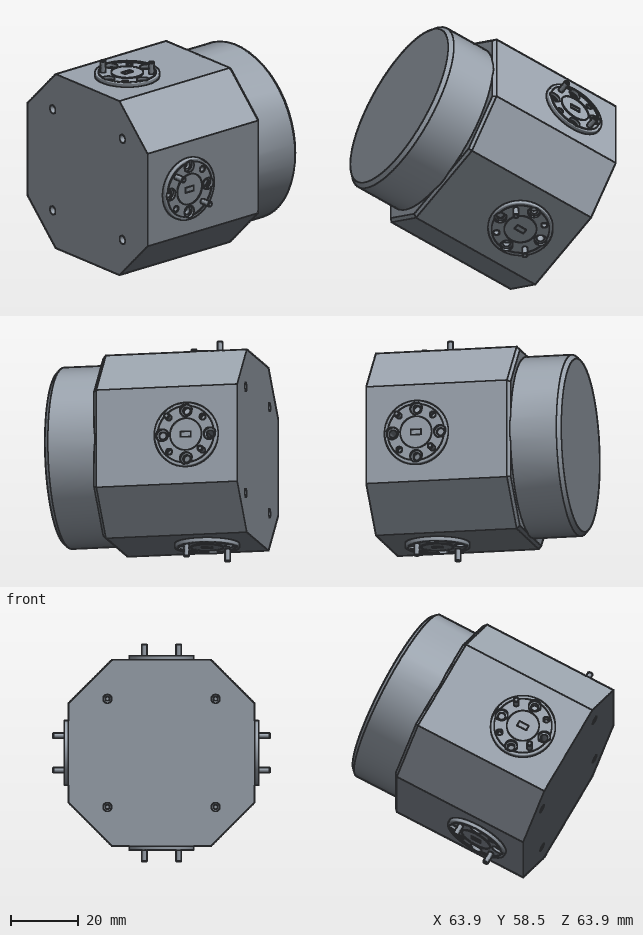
import cadquery as cq
import math

span = 63.9
length = 58.45
port_to_front = 15.25

housing_width = 54.8
housing_length = 43.4
corner_cut = 12.85
rear_chamfer = 0.9

drum_radius = 26.75
drum_chamfer = 1.2
drum_front_y = -6.15

mount_offset = 15.9
mount_diameter = 2.55
mount_depth = 5.1
mount_tip_diameter = 1.3

flange_diameter = 19.1
flange_height = 1.2
flange_edge = 0.3
rim_inner_diameter = 17.0
boss_diameter = 9.5
ring_recess = 0.25
guide_width = 1.6
guide_length = 3.1
guide_depth = 0.2
hole_circle_radius = 7.15
screw_diameter = 2.25
screw_head_diameter = 3.65
screw_head_depth = 1.3
screw_hole_depth = 9.6
dowel_hole_diameter = 1.65
dowel_hole_chamfer = 0.1
dowel_hole_depth = 9.6
pin_diameter = 1.6
pin_chamfer = 0.2

quarter_turns = (0, 90, 180, 270)
pin_angles = (45, 225)
dowel_hole_angles = (135, 315)

front_y = -port_to_front
rear_y = front_y + length
housing_top = housing_width / 2
flange_top = housing_top + flange_height
ring_top = flange_top - ring_recess


def cylinder_z(diameter, bottom, top, x=0, y=0):
    """Cylinder along Z between two heights."""
    return cq.Workplane("XY", origin=(x, y, bottom)).circle(diameter / 2).extrude(top - bottom)


def polar(angle):
    """Place on the hole circle at an angle in degrees from +X."""
    turn = math.radians(angle)
    return hole_circle_radius * math.cos(turn), hole_circle_radius * math.sin(turn)


def make_housing():
    """Octagonal block with a chamfered rear edge."""
    block = cq.Workplane("XZ", origin=(0, front_y, 0)).rect(housing_width, housing_width)
    block = block.extrude(-housing_length)
    return block.edges("|Y").chamfer(corner_cut).faces(">Y").chamfer(rear_chamfer)


def make_drum():
    """Round drum along Y with a chamfered rear edge."""
    drum = cq.Workplane("XZ", origin=(0, drum_front_y, 0)).circle(drum_radius).extrude(drum_front_y - rear_y)
    return drum.faces(">Y").chamfer(drum_chamfer)


def make_mount_hole(x, z):
    """Round hole in the front face that tapers to a small flat bottom."""
    radius = mount_diameter / 2
    tip_radius = mount_tip_diameter / 2
    tip_depth = mount_depth + radius - tip_radius
    profile = [(0, 0), (radius, 0), (radius, mount_depth), (tip_radius, tip_depth), (0, tip_depth)]
    hole = cq.Workplane("XY").polyline(profile).close().revolve(360, (0, 0, 0), (0, 1, 0))
    return hole.translate((x, front_y, z))


def make_flange():
    """Port flange on the +Z side, with a shallow ring recess between rim and boss."""
    flange = cylinder_z(flange_diameter, housing_top, flange_top).faces(">Z").edges().fillet(flange_edge)
    ring = cylinder_z(rim_inner_diameter, ring_top, flange_top)
    return flange.cut(ring.cut(cylinder_z(boss_diameter, ring_top, flange_top)))


def make_screw_hole(angle):
    """Counterbored hole with a conical tip."""
    x, y = polar(angle)
    radius = screw_diameter / 2
    bottom = flange_top - screw_hole_depth
    counterbore = cylinder_z(screw_head_diameter, flange_top - screw_head_depth, flange_top, x, y)
    tip = cq.Solid.makeCone(0, radius, radius, pnt=(x, y, bottom - radius))
    hole = cylinder_z(screw_diameter, bottom, flange_top, x, y)
    return counterbore.union(hole).union(cq.Workplane(tip))


def make_dowel_hole(angle):
    """Round hole with a chamfered mouth in the ring recess, deep enough to reach the drum."""
    x, y = polar(angle)
    radius = dowel_hole_diameter / 2
    mouth = cq.Solid.makeCone(
        radius, radius + dowel_hole_chamfer, dowel_hole_chamfer, pnt=(x, y, ring_top - dowel_hole_chamfer)
    )
    hole = cylinder_z(dowel_hole_diameter, flange_top - dowel_hole_depth, flange_top, x, y)
    return hole.union(cq.Workplane(mouth))


def make_port_cuts():
    """Waveguide opening, screw holes and dowel holes of the +Z port."""
    cuts = cq.Workplane("XY", origin=(0, 0, flange_top)).rect(guide_width, guide_length).extrude(-guide_depth)
    for angle in quarter_turns:
        cuts = cuts.union(make_screw_hole(angle))
    for angle in dowel_hole_angles:
        cuts = cuts.union(make_dowel_hole(angle))
    return cuts


def make_pin(angle):
    """Dowel pin of the +Z port with a chamfered tip."""
    x, y = polar(angle)
    return cylinder_z(pin_diameter, housing_top, span / 2, x, y).faces(">Z").chamfer(pin_chamfer)


def around(shape):
    """The shape repeated on the four sides around Y."""
    return [shape.rotate((0, 0, 0), (0, 1, 0), turn) for turn in quarter_turns]


result = make_housing()
for flange in around(make_flange()):
    result = result.union(flange)
for cuts in around(make_port_cuts()):
    result = result.cut(cuts)

result = result.union(make_drum())

for angle in pin_angles:
    for pin in around(make_pin(angle)):
        result = result.union(pin)

for x in (-mount_offset, mount_offset):
    for z in (-mount_offset, mount_offset):
        result = result.cut(make_mount_hole(x, z))